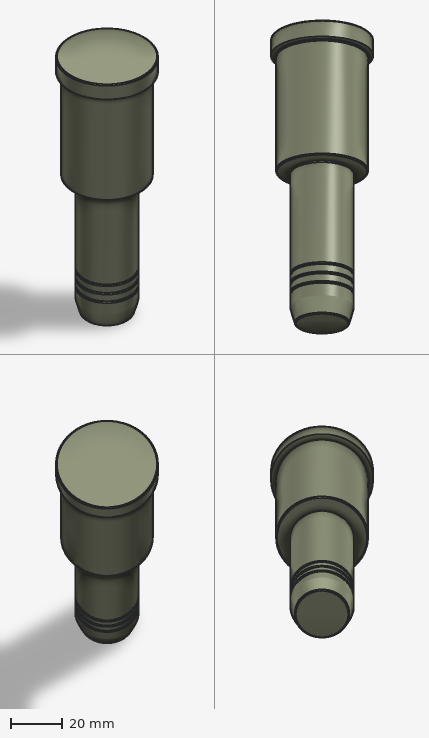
import cadquery as cq

total_height = 120.0
head_diameter = 40.0
head_height = 7.0
body_diameter = 36.0
body_bottom = 64.1
shaft_diameter = 25.0
edge_chamfer = 0.5

relief_height = 1.1
head_relief_depth = 0.4
head_relief_neck = 0.4
body_relief_depth = 0.7

groove_width = 1.0
groove_depth = 0.5
lowest_groove_center = 12.6
groove_pitch = 4.0
groove_count = 3

lead_in_height = 7.0
tip_diameter = 21.4
tip_chamfer = 0.5
lead_in_bulge = 0.1

head_radius = head_diameter / 2
body_radius = body_diameter / 2
shaft_radius = shaft_diameter / 2
tip_radius = tip_diameter / 2
head_bottom = total_height - head_height


def make_pin():
    """Revolve the half profile of the plain stepped pin about Z."""
    lead_in_middle = (
        (tip_radius + shaft_radius) / 2 + lead_in_bulge,
        (tip_chamfer + lead_in_height) / 2,
    )
    return (
        cq.Workplane("XZ")
        .lineTo(tip_radius - tip_chamfer, 0)
        .lineTo(tip_radius, tip_chamfer)
        .threePointArc(lead_in_middle, (shaft_radius, lead_in_height))
        .lineTo(shaft_radius, body_bottom)
        .lineTo(body_radius - edge_chamfer, body_bottom)
        .lineTo(body_radius, body_bottom + edge_chamfer)
        .lineTo(body_radius, head_bottom)
        .lineTo(head_radius, head_bottom)
        .lineTo(head_radius, total_height - edge_chamfer)
        .lineTo(head_radius - edge_chamfer, total_height)
        .lineTo(0, total_height)
        .close()
        .revolve(360, (0, 0), (0, 1))
    )


def shoulder_relief(radius, shoulder_height, depth, neck_height=0):
    """Ring removed under a shoulder, with an optional straight neck above its taper."""
    neck_radius = radius - depth
    profile = (
        cq.Workplane("XZ")
        .moveTo(radius, shoulder_height)
        .lineTo(neck_radius, shoulder_height)
    )
    if neck_height > 0:
        profile = profile.lineTo(neck_radius, shoulder_height - neck_height)
    profile = profile.lineTo(radius, shoulder_height - relief_height).close()
    return profile.revolve(360, (0, 0), (0, 1))


def oil_groove(center_height):
    """V-section ring removed from the shaft."""
    return (
        cq.Workplane("XZ")
        .moveTo(shaft_radius, center_height - groove_width / 2)
        .lineTo(shaft_radius - groove_depth, center_height)
        .lineTo(shaft_radius, center_height + groove_width / 2)
        .close()
        .revolve(360, (0, 0), (0, 1))
    )


result = make_pin()
result = result.cut(shoulder_relief(body_radius, head_bottom, head_relief_depth, head_relief_neck))
result = result.cut(shoulder_relief(shaft_radius, body_bottom, body_relief_depth))
for index in range(groove_count):
    result = result.cut(oil_groove(lowest_groove_center + index * groove_pitch))